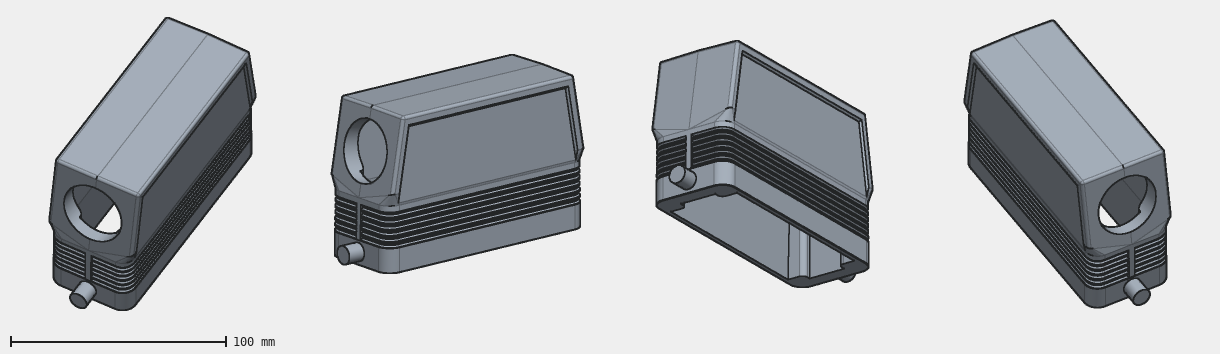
import cadquery as cq
import math

base_half_x = 21.5
base_half_y = 60.1
base_top = 12.2
base_corner_radius = 7.0
bottom_chamfer = 0.3
neck_step = 0.07
neck_narrowing = 0.3
neck_top = 32.8

groove_count = 6
groove_band_height = 17.8
groove_depth = 1.0
groove_mouth_width = 2.3
groove_root_width = 0.4
strip_mouth_half_width = 1.5
strip_root_half_width = 2.1

hood_half_x = 22.5
hood_bottom = 39.0
hood_top = 76.0
end_lean = 10.0
parting_draft = 1.0
hood_fillet = 1.5
flare_corner_radius = 1.7

panel_depth = 1.04
panel_top = 71.0
panel_half_y_top = 48.2
panel_bevel_width = 1.1

entry_diameter = 30.7
entry_height = 54.6

pin_diameter = 9.0
pin_height = 6.5
pin_tip_y = 69.1

end_wall = 7.6
cavity_half_x = 18.0
cavity_top = 71.9
cavity_mouth_half_x = 18.8
cavity_mouth_height = 33.5
pillar_half_gap = 9.8
pillar_radius = 2.6
pillar_top = 59.5

groove_pitch = groove_band_height / groove_count
neck_half_x = base_half_x - neck_step - neck_narrowing
neck_half_y = base_half_y - neck_step - neck_narrowing
neck_corner_radius = base_corner_radius - neck_step - neck_narrowing
neck_height = neck_top - base_top
neck_draft = math.degrees(math.atan(neck_narrowing / neck_height))
lean_slope = math.tan(math.radians(end_lean))
draft_slope = math.tan(math.radians(parting_draft))


def end_half_y(x, z):
    """Distance from y = 0 to the outer end face of the hood."""
    return neck_half_y - lean_slope * (z - neck_top) - draft_slope * x


def inner_half_y(z):
    """Distance from y = 0 to the leaning inner end wall."""
    return end_half_y(0, z) - end_wall


def rounded_outline(half_x, half_y, radius, height=0):
    outline = cq.Sketch().rect(2 * half_x, 2 * half_y).vertices().fillet(radius)
    return outline.moved(cq.Location(cq.Vector(0, 0, height)))


def base_outline(inset, height=0):
    """Outline of the base moved inwards evenly."""
    return rounded_outline(
        base_half_x - inset, base_half_y - inset, base_corner_radius - inset, height
    )


def loft_outlines(*outlines):
    return cq.Workplane("XY").placeSketch(*outlines).loft(ruled=True)


def trapezoid(workplane, bottom, top, half_y_bottom, half_y_top):
    """Symmetric trapezoid standing in a YZ plane."""
    return workplane.polyline(
        [
            (-half_y_bottom, bottom),
            (half_y_bottom, bottom),
            (half_y_top, top),
            (-half_y_top, top),
        ]
    ).close()


def both_sides(half, plane="YZ"):
    return half.union(half.mirror(plane))


def base_and_neck():
    base = cq.Workplane("XY").placeSketch(base_outline(0)).extrude(base_top)
    base = base.faces("<Z").chamfer(bottom_chamfer)
    neck = (
        cq.Workplane("XY", origin=(0, 0, base_top))
        .placeSketch(base_outline(neck_step))
        .extrude(neck_height, taper=neck_draft)
    )
    return base.union(neck)


def end_strip(bottom, height, surface_y, root_y):
    """Block on the -Y end that keeps a groove away from the middle, with sloping sides."""
    slope = (strip_root_half_width - strip_mouth_half_width) / (surface_y - root_y)
    outer_y = surface_y + strip_mouth_half_width / slope
    return (
        cq.Workplane("XY", origin=(0, 0, bottom))
        .polyline([(-strip_root_half_width, -root_y), (strip_root_half_width, -root_y), (0, -outer_y)])
        .close()
        .extrude(height)
    )


def grip_groove(middle):
    """Cutter for a groove with sloping flanks and a narrow flat root."""
    surface_inset = neck_step + neck_narrowing * (middle - base_top) / neck_height
    root_inset = surface_inset + groove_depth
    bottom = middle - groove_mouth_width / 2
    root_bottom = middle - groove_root_width / 2
    root_top = middle + groove_root_width / 2
    top = middle + groove_mouth_width / 2

    core = loft_outlines(base_outline(surface_inset, bottom), base_outline(root_inset, root_bottom))
    core = core.union(
        loft_outlines(base_outline(root_inset, root_bottom), base_outline(root_inset, root_top))
    )
    core = core.union(
        loft_outlines(base_outline(root_inset, root_top), base_outline(surface_inset, top))
    )
    surround = (
        cq.Workplane("XY", origin=(0, 0, bottom))
        .rect(4 * base_half_x, 4 * base_half_y)
        .extrude(groove_mouth_width)
    )
    surface_y = base_half_y - surface_inset
    strip = end_strip(bottom, groove_mouth_width, surface_y, surface_y - groove_depth)
    return surround.cut(core).cut(both_sides(strip, "XZ"))


def flare():
    """Transition from the rounded neck to the nearly sharp corners of the hood."""
    upper_half_y = end_half_y(hood_half_x, hood_bottom)
    return loft_outlines(
        rounded_outline(neck_half_x, neck_half_y, neck_corner_radius, neck_top),
        rounded_outline(hood_half_x, upper_half_y, flare_corner_radius, hood_bottom),
    )


def hood():
    """Two halves that slope away from the middle plane; the underside forms a V."""
    side_top = hood_top - draft_slope * hood_half_x
    middle = trapezoid(
        cq.Workplane("YZ"), neck_top, hood_top, end_half_y(0, neck_top), end_half_y(0, hood_top)
    )
    half = trapezoid(
        middle.workplane(offset=hood_half_x),
        hood_bottom,
        side_top,
        end_half_y(hood_half_x, hood_bottom),
        end_half_y(hood_half_x, side_top),
    ).loft(ruled=True)
    side_edges = half.faces(">X").edges("not <Z")
    top_end_edges = half.faces(">Z").edges(">Y or <Y")
    outer_edges = side_edges.add(top_end_edges)
    return both_sides(outer_edges.fillet(hood_fillet))


def side_panel():
    """Cutter for the recess in the +X side, with bevelled walls and open towards the neck."""
    floor_top = panel_top - panel_bevel_width
    half_y_bottom = panel_half_y_top + lean_slope * (panel_top - neck_top)
    floor = trapezoid(
        cq.Workplane("YZ", origin=(hood_half_x - panel_depth, 0, 0)),
        neck_top,
        floor_top,
        half_y_bottom - panel_bevel_width,
        panel_half_y_top + lean_slope * panel_bevel_width - panel_bevel_width,
    )
    return trapezoid(
        floor.workplane(offset=panel_depth), neck_top, panel_top, half_y_bottom, panel_half_y_top
    ).loft(ruled=True)


def pins():
    """Round pins rooted in the end walls."""
    root_y = neck_half_y - end_wall
    pin = (
        cq.Workplane("XZ", origin=(0, -root_y, pin_height))
        .circle(pin_diameter / 2)
        .extrude(pin_tip_y - root_y)
    )
    return both_sides(pin, "XZ")


def cavity():
    mouth_half_y = inner_half_y(neck_top)
    chamber = trapezoid(
        cq.Workplane("YZ"), neck_top, cavity_top, mouth_half_y, inner_half_y(cavity_top)
    ).extrude(cavity_half_x, both=True)
    mouth = (
        cq.Workplane("XZ")
        .polyline(
            [
                (-cavity_mouth_half_x, 0),
                (cavity_mouth_half_x, 0),
                (cavity_half_x, cavity_mouth_height),
                (-cavity_half_x, cavity_mouth_height),
            ]
        )
        .close()
        .extrude(mouth_half_y, both=True)
    )
    return chamber.union(mouth).cut(corner_pillars())


def corner_pillars():
    """Upright pillars in the four inner corners, ending where they meet the leaning walls."""
    face_y = inner_half_y(pillar_top)
    width = base_half_x - pillar_half_gap
    depth = base_half_y - face_y
    pillar = (
        cq.Workplane("XY")
        .box(width, depth, hood_top, centered=False)
        .edges("|Z and <X and <Y")
        .fillet(pillar_radius)
        .translate((pillar_half_gap, face_y, 0))
    )
    return both_sides(both_sides(pillar), "XZ")


def cable_entry():
    """Bore square to the leaning -Y end face."""
    entry_plane = cq.Plane(
        origin=(0, -end_half_y(0, entry_height), entry_height),
        xDir=(1, 0, 0),
        normal=(0, -1, lean_slope),
    )
    reach = 2 * end_wall
    return cq.Workplane(entry_plane).circle(entry_diameter / 2).extrude(reach, both=True)


body = base_and_neck().union(hood()).union(flare())
for index in range(groove_count):
    body = body.cut(grip_groove(base_top + (index + 0.5) * groove_pitch))
body = body.cut(both_sides(side_panel()))
body = body.cut(cavity()).cut(cable_entry())
result = body.union(pins())